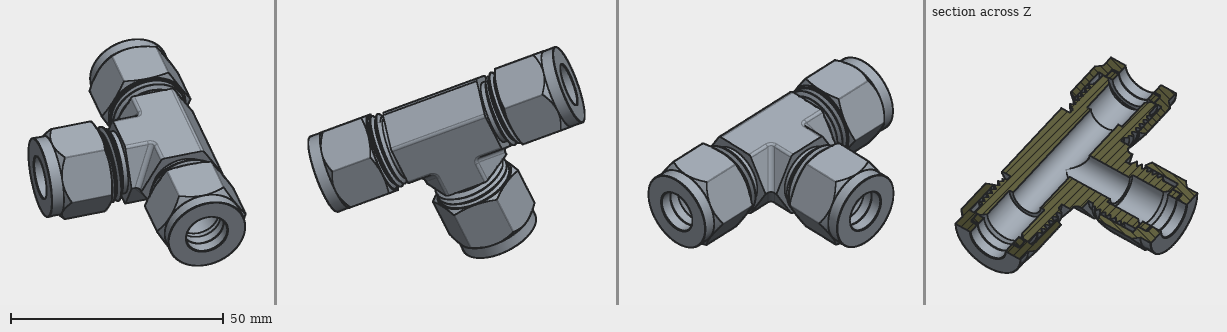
import cadquery as cq
import math

LEG_TURNS = (0, 180, -90)

LEG_LENGTH = 31.5
BLOCK_HALF_LENGTH = 12.05
THREAD_START = 13.2
BEVEL_LENGTH = 0.8
SOCKET_BOTTOM = 15.75
NUT_START = 16.5
THREAD_END = 22.7
NOSE_END = 26.0
COLLAR_START = 28.5
FERRULE_JOINT = 28.4
NUT_SHOULDER = 28.6

BLOCK_FLATS = 17.7
BLOCK_BACK = 9.9
BLOCK_ROUND = 0.95
VALLEY_RADIUS = 1.25
EDGE_TOLERANCE = 0.05

NECK_RADIUS = 7.5
CREST_RADIUS = 9.0
ROOT_RADIUS = 8.0
THREAD_PITCH = 1.5
CREST_WIDTH = 0.2
FIRST_CREST = 14.2
GROOVE_OVERCUT = 0.05
FLANK_SLOPE = math.tan(math.radians(30))
NOSE_RADIUS = 7.95
FLOW_RADIUS = 4.0
TUBE_RADIUS = 5.05
MOUTH_DEPTH = 1.3
MOUTH_FLARE = 1.3

NUT_FLATS = 19.0
COLLAR_RADIUS = NUT_FLATS / 2
COLLAR_TAPER = 0.05
COLLAR_CHAMFER = 0.1
NUT_EDGE_ROUND = 0.2
INNER_BEVEL_ANGLE = 25
THREAD_CLEARANCE = 0.05
NUT_BORE_RADIUS = CREST_RADIUS + THREAD_CLEARANCE
NUT_ENTRY_CHAMFER = 0.2
FERRULE_RADIUS = 6.9


def corner_radius(across_flats):
    return across_flats / math.sqrt(3)


def hex_bar(across_flats, start, end):
    """Hexagonal bar along +X with flats facing up and down and corners at +Y and -Y."""
    bar = cq.Workplane("YZ", origin=(start, 0, 0)).polygon(6, 2 * corner_radius(across_flats))
    return bar.extrude(end - start)


def turned(profile):
    """Solid of revolution about X from (x, radius) points."""
    return cq.Workplane("XY").polyline(profile).close().revolve(360, (0, 0, 0), (1, 0, 0))


def tube_ring(start, end, inner_radius, outer_radius):
    """Plain ring about X."""
    return turned([(start, inner_radius), (end, inner_radius), (end, outer_radius), (start, outer_radius)])


def turn_about_z(shape, angle):
    return shape.rotate((0, 0, 0), (0, 0, 1), angle)


def make_block():
    """Hexagonal run and branch joined in a tee, with rounded valleys and long edges."""
    run = hex_bar(BLOCK_FLATS, -BLOCK_HALF_LENGTH, BLOCK_HALF_LENGTH)
    removed_depth = corner_radius(BLOCK_FLATS) - BLOCK_BACK
    rear_corner = cq.Workplane("XY").box(2 * BLOCK_HALF_LENGTH, removed_depth, BLOCK_FLATS)
    run = run.cut(rear_corner.translate((0, BLOCK_BACK + removed_depth / 2, 0)))
    branch = turn_about_z(hex_bar(BLOCK_FLATS, 0, BLOCK_HALF_LENGTH), -90)
    block = run.union(branch).clean()

    valley_middle = 0.75 * corner_radius(BLOCK_FLATS)
    valleys = []
    for side_x in (-1, 1):
        for side_z in (-1, 1):
            point = (side_x * valley_middle, -valley_middle, side_z * BLOCK_FLATS / 4)
            valleys += block.edges(cq.selectors.NearestToPointSelector(point)).vals()
    block = block.newObject(valleys).fillet(VALLEY_RADIUS)

    long_edges = []
    for face_side in ("<Z", ">Z"):
        for edge in block.faces(face_side).edges().vals():
            middle = edge.Center()
            on_run_end = abs(middle.x) > BLOCK_HALF_LENGTH - EDGE_TOLERANCE
            on_branch_end = middle.y < EDGE_TOLERANCE - BLOCK_HALF_LENGTH
            if not (on_run_end or on_branch_end):
                long_edges.append(edge)
    return block.newObject(long_edges).fillet(BLOCK_ROUND)


def make_groove():
    """Right-handed helical V-groove that leaves flat thread crests."""
    cut_radius = CREST_RADIUS + GROOVE_OVERCUT
    half_width = (THREAD_PITCH - CREST_WIDTH) / 2 + GROOVE_OVERCUT * FLANK_SLOPE
    root_half_width = half_width - (cut_radius - ROOT_RADIUS) * FLANK_SLOPE
    start = FIRST_CREST - 1.5 * THREAD_PITCH
    length = THREAD_END + THREAD_PITCH - start
    path = cq.Wire.makeHelix(THREAD_PITCH, length, ROOT_RADIUS)
    profile = cq.Workplane("XZ").polyline(
        [
            (ROOT_RADIUS, -root_half_width),
            (cut_radius, -half_width),
            (cut_radius, half_width),
            (ROOT_RADIUS, root_half_width),
        ]
    ).close()
    groove = profile.sweep(cq.Workplane(path), isFrenet=True)
    groove = groove.rotate((0, 0, 0), (1, 1, 1), 120)
    return groove.translate((start, 0, 0))


def make_stub():
    """Neck, threaded barrel with a bevelled start, and plain nose of one leg."""
    barrel = tube_ring(BLOCK_HALF_LENGTH, THREAD_END, 0, CREST_RADIUS).cut(make_groove())
    envelope = turned(
        [
            (BLOCK_HALF_LENGTH, 0),
            (BLOCK_HALF_LENGTH, NECK_RADIUS),
            (THREAD_START, NECK_RADIUS),
            (THREAD_START + BEVEL_LENGTH, CREST_RADIUS),
            (THREAD_END, CREST_RADIUS),
            (THREAD_END, 0),
        ]
    )
    nose = tube_ring(THREAD_END, NOSE_END, 0, NOSE_RADIUS)
    return barrel.intersect(envelope).union(nose)


def make_bore():
    """Bore of one leg: flow passage, tube socket and flared mouth."""
    return turned(
        [
            (0, 0),
            (0, FLOW_RADIUS),
            (SOCKET_BOTTOM, FLOW_RADIUS),
            (SOCKET_BOTTOM, TUBE_RADIUS),
            (NOSE_END - MOUTH_DEPTH, TUBE_RADIUS),
            (NOSE_END, TUBE_RADIUS + MOUTH_FLARE),
            (NOSE_END, 0),
        ]
    )


def make_tee():
    tee = make_block()
    stub = make_stub()
    for angle in LEG_TURNS:
        tee = tee.union(turn_about_z(stub, angle))
    bore = make_bore()
    for angle in LEG_TURNS:
        tee = tee.cut(turn_about_z(bore, angle))
    return tee


def make_nut():
    """Hexagon nut with bevelled corners, a round collar and a stepped bore."""
    corner = corner_radius(NUT_FLATS)
    bevel = corner - COLLAR_RADIUS
    envelope = turned(
        [
            (NUT_START, 0),
            (NUT_START, COLLAR_RADIUS),
            (NUT_START + bevel * math.tan(math.radians(INNER_BEVEL_ANGLE)), corner),
            (COLLAR_START - bevel, corner),
            (COLLAR_START, COLLAR_RADIUS),
            (COLLAR_START, 0),
        ]
    )
    hexagon = hex_bar(NUT_FLATS, NUT_START, COLLAR_START).edges("|X").fillet(NUT_EDGE_ROUND)
    collar = turned(
        [
            (COLLAR_START, 0),
            (COLLAR_START, COLLAR_RADIUS - COLLAR_TAPER),
            (LEG_LENGTH - COLLAR_CHAMFER, COLLAR_RADIUS),
            (LEG_LENGTH, COLLAR_RADIUS - COLLAR_CHAMFER),
            (LEG_LENGTH, 0),
        ]
    )
    nut = hexagon.intersect(envelope).union(collar)
    cavity = turned(
        [
            (NUT_START, 0),
            (NUT_START, NUT_BORE_RADIUS),
            (NOSE_END, NUT_BORE_RADIUS),
            (NOSE_END, FERRULE_RADIUS),
            (NUT_SHOULDER, FERRULE_RADIUS),
            (NUT_SHOULDER, TUBE_RADIUS),
            (LEG_LENGTH - NUT_ENTRY_CHAMFER, TUBE_RADIUS),
            (LEG_LENGTH, TUBE_RADIUS + NUT_ENTRY_CHAMFER),
            (LEG_LENGTH, 0),
        ]
    )
    return nut.cut(cavity)


def make_front_ferrule():
    return tube_ring(NOSE_END, FERRULE_JOINT, TUBE_RADIUS, FERRULE_RADIUS)


def make_back_ferrule():
    return tube_ring(FERRULE_JOINT, NUT_SHOULDER, TUBE_RADIUS, FERRULE_RADIUS)


def copies_on_legs(part):
    """One separate solid of the part on every leg."""
    return [turn_about_z(part, angle).solids().val() for angle in LEG_TURNS]


tee = make_tee().solids().val()
nuts = copies_on_legs(make_nut())
front_ferrules = copies_on_legs(make_front_ferrule())
back_ferrules = copies_on_legs(make_back_ferrule())

result = cq.Compound.makeCompound([tee, *nuts, *front_ferrules, *back_ferrules])